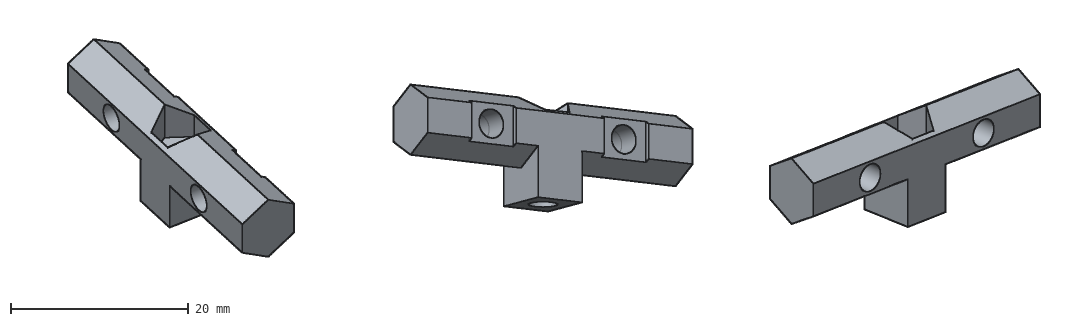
import cadquery as cq
import math

bar_length = 35.9
bar_width = 7.0
bar_height = bar_width / math.cos(math.radians(30))
total_height = 11.95

stem_length = 6.0
stem_bottom = bar_height / 2 - total_height

hole_diameter = 3.3
cross_hole_spacing = bar_length / 2

nut_corners = 6.7
nut_pocket_depth = 4.7

flat_length = stem_length
flat_depth = 0.55


def make_bar():
    return (
        cq.Workplane("YZ")
        .polygon(6, bar_height)
        .extrude(bar_length / 2, both=True)
        .rotate((0, 0, 0), (1, 0, 0), 90)
    )


def make_stem():
    return (
        cq.Workplane("XY", origin=(0, 0, stem_bottom))
        .rect(stem_length, bar_width)
        .extrude(-stem_bottom)
    )


def make_nut_pocket():
    return (
        cq.Workplane("XY", origin=(0, 0, bar_height / 2))
        .polygon(6, nut_corners)
        .extrude(-nut_pocket_depth)
    )


def make_vertical_hole():
    return (
        cq.Workplane("XY", origin=(0, 0, stem_bottom))
        .circle(hole_diameter / 2)
        .extrude(total_height)
    )


def make_cross_hole(x):
    return (
        cq.Workplane("XZ", origin=(x, 0, 0))
        .circle(hole_diameter / 2)
        .extrude(bar_width, both=True)
    )


def make_side_flat(x):
    return cq.Workplane("XY").box(flat_length, 2 * flat_depth, bar_height).translate((x, bar_width / 2, 0))


result = make_bar().union(make_stem()).cut(make_nut_pocket()).cut(make_vertical_hole())
for x in (-cross_hole_spacing / 2, cross_hole_spacing / 2):
    result = result.cut(make_cross_hole(x)).cut(make_side_flat(x))